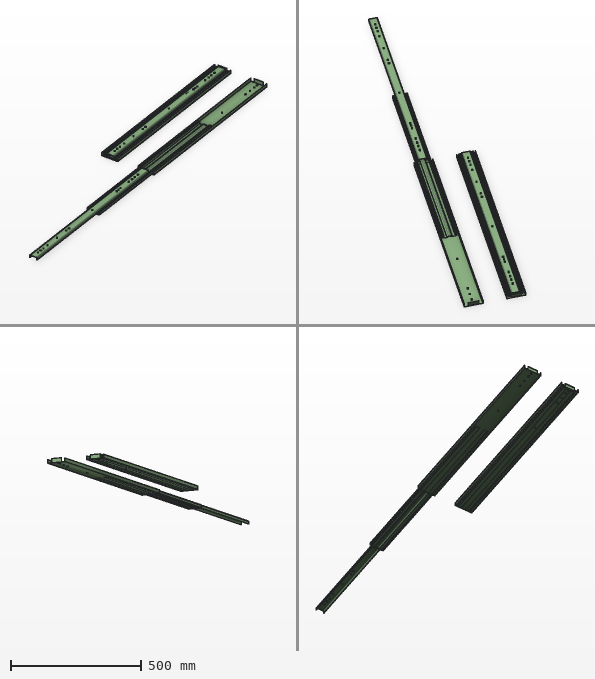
import cadquery as cq
import math


OVERALL_WIDTH = 245.0
OVERALL_HEIGHT = 20.0
RAIL_LENGTH = 762.0
GAUGE = 2.1

OUTER_WIDTH = 76.0
OUTER_HEIGHT = 15.0
OUTER_BEND = 2.3
TAB_WIDTH = 43.0
TAB_HEIGHT = 18.0

MIDDLE_WIDTH = 60.0
MIDDLE_TOP = OUTER_HEIGHT
TROUGH_WIDTH = 44.0
TROUGH_FLOOR = 5.0
FLANGE_BOTTOM = 4.3
RIB_FLAT_WIDTH = 6.7
RIB_RADIUS = 9.5
RIB_ANGLE = math.radians(60)
MIDDLE_TRAVEL = 357.0

INNER_WIDTH = 35.0
INNER_BOTTOM = 7.3
INNER_BEND = 3.0

SLIDING_LENGTH = 755.0

SMALL_HOLE = 5.2
LARGE_HOLE = 7.2
SLOT_LENGTH = 8.0
INNER_SMALL_HOLES = [32.0, 69.0, 96.0, 160.0, 223.0, 400.0, 576.0, 590.0]
INNER_LARGE_HOLES = [50.0, 241.0, 564.0]
INNER_SLOTS = [645.0, 668.0, 686.0, 707.0]
OUTER_HOLES = [514.0, 703.0]
OUTER_SLOTS = [672.0, 732.0, 750.0]


def extrude_along_y(profile, length):
    """Extrude a closed XZ profile from Y = 0 towards +Y."""
    return profile.close().extrude(-length)


def drill(rail, distances, diameter):
    """Drill vertical holes through the web on the rail's centre line."""
    drills = (
        cq.Workplane("XY")
        .pushPoints([(0, distance) for distance in distances])
        .circle(diameter / 2)
        .extrude(OVERALL_HEIGHT)
    )
    return rail.cut(drills)


def cut_slots(rail, distances):
    """Cut vertical slots, long along Y, through the web on the rail's centre line."""
    slots = (
        cq.Workplane("XY")
        .pushPoints([(0, distance) for distance in distances])
        .slot2D(SLOT_LENGTH, SMALL_HOLE, angle=90)
        .extrude(OVERALL_HEIGHT)
    )
    return rail.cut(slots)


def make_outer_rail():
    half = OUTER_WIDTH / 2
    inside = half - GAUGE
    profile = (
        cq.Workplane("XZ")
        .moveTo(-half, OUTER_HEIGHT)
        .lineTo(-half, OUTER_BEND)
        .radiusArc((-half + OUTER_BEND, 0), -OUTER_BEND)
        .lineTo(half - OUTER_BEND, 0)
        .radiusArc((half, OUTER_BEND), -OUTER_BEND)
        .lineTo(half, OUTER_HEIGHT)
        .lineTo(inside, OUTER_HEIGHT)
        .lineTo(inside, GAUGE)
        .lineTo(-inside, GAUGE)
        .lineTo(-inside, OUTER_HEIGHT)
    )
    channel = extrude_along_y(profile, RAIL_LENGTH)
    tab = cq.Workplane("XY").box(TAB_WIDTH, GAUGE, TAB_HEIGHT, centered=(True, False, False))
    rail = channel.union(tab.translate((0, RAIL_LENGTH - GAUGE, 0)))
    rail = drill(rail, OUTER_HOLES, SMALL_HOLE)
    return cut_slots(rail, OUTER_SLOTS)


def make_middle_rail():
    half = MIDDLE_WIDTH / 2
    trough = TROUGH_WIDTH / 2
    web_bottom = TROUGH_FLOOR - GAUGE
    section = (
        cq.Workplane("XZ")
        .moveTo(-half, FLANGE_BOTTOM)
        .lineTo(-half, MIDDLE_TOP)
        .lineTo(-trough, MIDDLE_TOP)
        .lineTo(-trough, TROUGH_FLOOR)
        .lineTo(trough, TROUGH_FLOOR)
        .lineTo(trough, MIDDLE_TOP)
        .lineTo(half, MIDDLE_TOP)
        .lineTo(half, FLANGE_BOTTOM)
        .lineTo(half - GAUGE, FLANGE_BOTTOM)
        .lineTo(half - GAUGE, MIDDLE_TOP - GAUGE)
        .lineTo(trough + GAUGE, MIDDLE_TOP - GAUGE)
        .lineTo(trough + GAUGE, web_bottom)
        .lineTo(-trough - GAUGE, web_bottom)
        .lineTo(-trough - GAUGE, MIDDLE_TOP - GAUGE)
        .lineTo(-half + GAUGE, MIDDLE_TOP - GAUGE)
        .lineTo(-half + GAUGE, FLANGE_BOTTOM)
    )
    rail = extrude_along_y(section, SLIDING_LENGTH)
    rib = make_rib(TROUGH_FLOOR, RIB_RADIUS)
    groove = make_rib(web_bottom, RIB_RADIUS - GAUGE)
    return rail.union(rib).cut(groove)


def make_rib(base, radius):
    """Flat-topped ridge with rounded shoulders, standing on the height `base`."""
    flat = RIB_FLAT_WIDTH / 2
    foot = flat + radius * math.sin(RIB_ANGLE)
    top = base + radius * (1 - math.cos(RIB_ANGLE))
    profile = (
        cq.Workplane("XZ")
        .moveTo(-foot, base)
        .radiusArc((-flat, top), radius)
        .lineTo(flat, top)
        .radiusArc((foot, base), radius)
    )
    return extrude_along_y(profile, SLIDING_LENGTH)


def make_inner_rail():
    half = INNER_WIDTH / 2
    inside = half - GAUGE
    inside_bend = INNER_BEND - GAUGE
    ceiling = OVERALL_HEIGHT - GAUGE
    bend_start = OVERALL_HEIGHT - INNER_BEND
    profile = (
        cq.Workplane("XZ")
        .moveTo(-half, INNER_BOTTOM)
        .lineTo(-half, bend_start)
        .radiusArc((-half + INNER_BEND, OVERALL_HEIGHT), INNER_BEND)
        .lineTo(half - INNER_BEND, OVERALL_HEIGHT)
        .radiusArc((half, bend_start), INNER_BEND)
        .lineTo(half, INNER_BOTTOM)
        .lineTo(inside, INNER_BOTTOM)
        .lineTo(inside, bend_start)
        .radiusArc((inside - inside_bend, ceiling), -inside_bend)
        .lineTo(-inside + inside_bend, ceiling)
        .radiusArc((-inside, bend_start), -inside_bend)
        .lineTo(-inside, INNER_BOTTOM)
    )
    rail = extrude_along_y(profile, SLIDING_LENGTH)
    rail = drill(rail, INNER_SMALL_HOLES, SMALL_HOLE)
    rail = drill(rail, INNER_LARGE_HOLES, LARGE_HOLE)
    return cut_slots(rail, INNER_SLOTS)


def make_slide(centre, middle_pull, inner_pull):
    """The three rails of one slide centred on X = `centre`, the moving ones pulled towards -Y."""
    return [
        make_outer_rail().translate((centre, 0, 0)),
        make_middle_rail().translate((centre, -middle_pull, 0)),
        make_inner_rail().translate((centre, -inner_pull, 0)),
    ]


slide_offset = (OVERALL_WIDTH - OUTER_WIDTH) / 2
closed_slide = make_slide(-slide_offset, middle_pull=0, inner_pull=0)
extended_slide = make_slide(slide_offset, MIDDLE_TRAVEL, RAIL_LENGTH)

result = cq.Compound.makeCompound([rail.val() for rail in closed_slide + extended_slide])